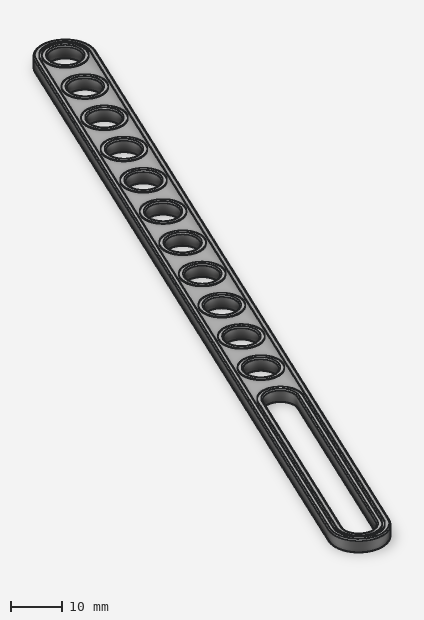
import cadquery as cq

pitch = 12.5
length_in_pitches = 16
thickness = pitch / 4
hole_diameter = 7.0
collar_diameter = 9.2
round_hole_count = 11
recess_depth = 0.2
edge_chamfer = 0.3

length = length_in_pitches * pitch
width = pitch
rim_width = (collar_diameter - hole_diameter) / 2
recess_width = width - 2 * rim_width
floor_z = thickness - recess_depth
first_hole_x = -length / 2 + width / 2
slot_start_x = first_hole_x + round_hole_count * pitch
slot_end_x = length / 2 - width / 2
hole_centers = [(first_hole_x + i * pitch, 0) for i in range(round_hole_count)]


def rounded_bar(start_x, end_x, bar_width, base_z, height):
    """Round-ended bar along X whose end arcs are centred at start_x and end_x."""
    overall_length = end_x - start_x + bar_width
    return (
        cq.Workplane("XY", origin=((start_x + end_x) / 2, 0, base_z))
        .slot2D(overall_length, bar_width)
        .extrude(height)
    )


def hole_cylinders(diameter, base_z, height):
    """Equal cylinders on all the round hole centres."""
    return (
        cq.Workplane("XY", origin=(0, 0, base_z))
        .pushPoints(hole_centers)
        .circle(diameter / 2)
        .extrude(height)
    )


def perforated_strip():
    """Round-ended strip with its holes and slot, chamfered on both faces."""
    strip = rounded_bar(first_hole_x, slot_end_x, width, 0, thickness)
    strip = strip.cut(hole_cylinders(hole_diameter, 0, thickness))
    strip = strip.cut(rounded_bar(slot_start_x, slot_end_x, hole_diameter, 0, thickness))
    return strip.faces("<Z or >Z").chamfer(edge_chamfer)


def top_recess():
    """Shallow volume inside the rim, leaving out the collars of the holes and the slot."""
    recess = rounded_bar(first_hole_x, slot_end_x, recess_width, floor_z, recess_depth)
    hole_collars = hole_cylinders(collar_diameter, floor_z, recess_depth)
    slot_collar = rounded_bar(slot_start_x, slot_end_x, collar_diameter, floor_z, recess_depth)
    return recess.cut(hole_collars).cut(slot_collar)


result = perforated_strip().cut(top_recess())